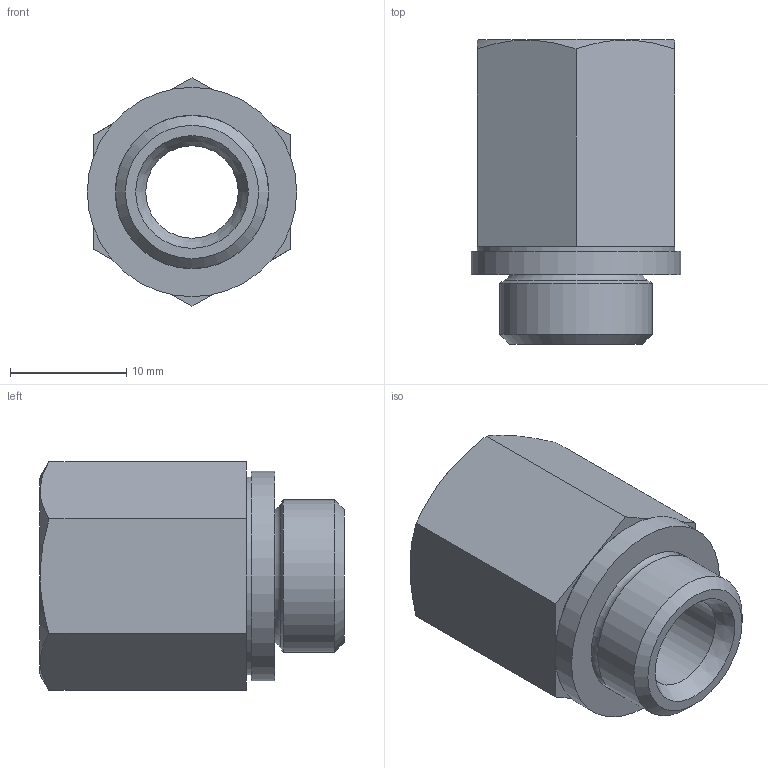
import cadquery as cq
import math

total_length = 26.2
spigot_length = 6.0
collar_back = 2.0
neck_length = 0.42
spigot_end = -spigot_length
hex_start = collar_back + neck_length
hex_end = total_length - spigot_length

hex_sides = 6
across_flats = 17.0
neck_diameter = across_flats
collar_diameter = 18.0
spigot_diameter = 13.16
spigot_tip_diameter = 11.445
bore_diameter = 7.95
bore_mouth_diameter = 9.68

undercut_cone_length = 0.24
undercut_arc_radius = 1.0
undercut_slope = math.radians(60)
shoulder_position = -0.75
recess_diameter = 13.2

hex_chamfer_angle = math.radians(30)
hex_face_diameter = 16.85

mouth_depth = 1.5


def turned_body():
    """Spigot, undercut, recessed collar and neck, revolved about the Y axis."""
    spigot_radius = spigot_diameter / 2
    tip_radius = spigot_tip_diameter / 2
    tip_chamfer = spigot_radius - tip_radius
    arc_start_y = shoulder_position + undercut_cone_length
    arc_start_radius = spigot_radius - undercut_cone_length * math.tan(undercut_slope)
    arc_center_y = arc_start_y + undercut_arc_radius * math.sin(undercut_slope)
    arc_center_radius = arc_start_radius + undercut_arc_radius * math.cos(undercut_slope)

    def arc_point(angle):
        """Point on the groove arc, at an angle from its deepest point."""
        return (
            arc_center_radius - undercut_arc_radius * math.cos(angle),
            arc_center_y - undercut_arc_radius * math.sin(angle),
        )

    recess_radius = recess_diameter / 2
    wall_angle = -math.acos((arc_center_radius - recess_radius) / undercut_arc_radius)
    profile = (
        cq.Workplane("XY")
        .moveTo(0, spigot_end)
        .lineTo(tip_radius, spigot_end)
        .lineTo(spigot_radius, spigot_end + tip_chamfer)
        .lineTo(spigot_radius, shoulder_position)
        .lineTo(arc_start_radius, arc_start_y)
        .threePointArc(arc_point(0), arc_point(wall_angle))
        .lineTo(recess_radius, 0)
        .lineTo(collar_diameter / 2, 0)
        .lineTo(collar_diameter / 2, collar_back)
        .lineTo(neck_diameter / 2, collar_back)
        .lineTo(neck_diameter / 2, hex_start)
        .lineTo(0, hex_start)
        .close()
    )
    return profile.revolve(360, (0, 0, 0), (0, 1, 0))


def chamfered_hexagon():
    """Hexagon with corners pointing along Z and its rear corners coned off."""
    half_side_angle = 180 / hex_sides
    across_corners = across_flats / math.cos(math.radians(half_side_angle))
    hexagon = (
        cq.Workplane("XZ", origin=(0, hex_start, 0))
        .polygon(hex_sides, across_corners)
        .extrude(hex_start - hex_end)
        .rotate((0, 0, 0), (0, 1, 0), half_side_angle)
    )
    face_radius = hex_face_diameter / 2
    envelope_radius = across_corners
    cone_depth = (envelope_radius - face_radius) * math.tan(hex_chamfer_angle)
    envelope = (
        cq.Workplane("XY")
        .moveTo(0, hex_start)
        .lineTo(envelope_radius, hex_start)
        .lineTo(envelope_radius, hex_end - cone_depth)
        .lineTo(face_radius, hex_end)
        .lineTo(0, hex_end)
        .close()
        .revolve(360, (0, 0, 0), (0, 1, 0))
    )
    return hexagon.intersect(envelope)


def bore():
    """Through bore with a conical mouth at the spigot end."""
    bore_radius = bore_diameter / 2
    return (
        cq.Workplane("XY")
        .moveTo(0, spigot_end)
        .lineTo(bore_mouth_diameter / 2, spigot_end)
        .lineTo(bore_radius, spigot_end + mouth_depth)
        .lineTo(bore_radius, hex_end)
        .lineTo(0, hex_end)
        .close()
        .revolve(360, (0, 0, 0), (0, 1, 0))
    )


result = turned_body().union(chamfered_hexagon()).cut(bore())